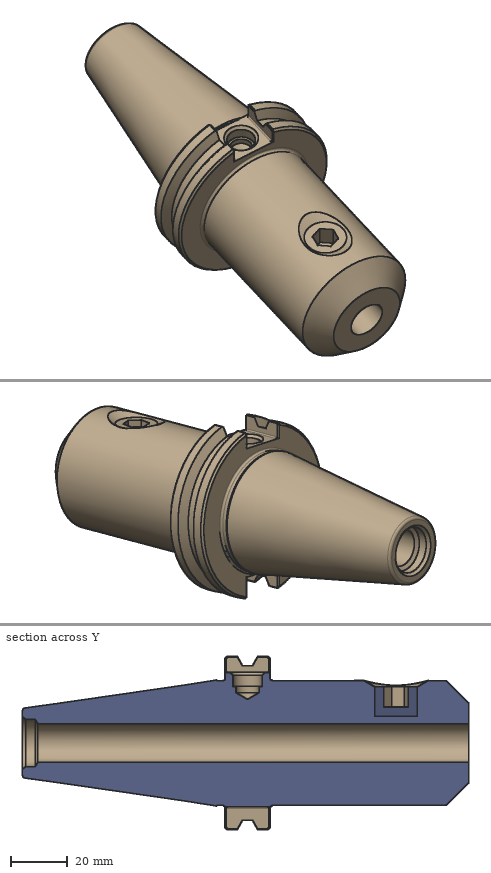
import cadquery as cq
import math

LENGTH = 157.2

TAPER_RATIO = 7 / 24
GAUGE_DIAMETER = 44.5
GAUGE_X = 68.2
TAPER_END_FILLET = 1.1

NOSE_DIAMETER = 44.0
NOSE_CHAMFER = 7.9
NECK_STEP_LENGTH = 0.6
FRONT_ROOT_FILLET = 0.8
BACK_ROOT_FILLET = 1.1

FLANGE_DIAMETER = 63.5
FLANGE_X = 71.3
FLANGE_WIDTH = 15.9
FLANGE_CHAMFER = 0.8
GROOVE_DEPTH = 3.3
GROOVE_TOP_WIDTH = 7.4
GROOVE_HALF_ANGLE = 30.0

SLOT_WIDTH = 16.2
SLOT_EDGE_CHAMFER = 0.5
SLOT_FLOOR_FILLET = 0.5
UPPER_SLOT_FLOOR_Z = 24.8
LOWER_SLOT_FLOOR_Z = -22.5

BORE_DIAMETER = 13.4
COUNTERBORE_DIAMETER = 16.5
COUNTERBORE_DEPTH = 4.5
BORE_MOUTH_DIAMETER = 18.4
BORE_MOUTH_DEPTH = 1.3

SLOT_HOLE_DIAMETER = 10.0
SLOT_HOLE_MOUTH_DIAMETER = 12.1
SLOT_HOLE_DEPTH = 4.9
PILOT_DIAMETER = 8.0
PILOT_DEPTH = 7.0
DRILL_HALF_ANGLE = 60.0

SCREW_X = 131.5
SCREW_DIAMETER = 15.0
SCREW_TOP_Z = 19.8
SCREW_BOTTOM_Z = 9.6
SOCKET_FLATS = 8.0
SOCKET_DEPTH = 7.0
SOCKET_TURN = -10.0
SCREW_SINK_HALF_ANGLE = 60.0
SINK_OVERRUN = 1.5

TOLERANCE = 0.002

flange_back_x = FLANGE_X + FLANGE_WIDTH
flange_middle_x = FLANGE_X + FLANGE_WIDTH / 2
flange_radius = FLANGE_DIAMETER / 2
nose_radius = NOSE_DIAMETER / 2


def cone_height(large_diameter, small_diameter, half_angle):
    """Height over which a cone with this half angle goes from one diameter to the other."""
    return (large_diameter - small_diameter) / 2 / math.tan(math.radians(half_angle))


def turned_along_x(points):
    """Solid of revolution about the X axis from (x, radius) points."""
    return cq.Workplane("XY").polyline(points).close().revolve(360, (0, 0, 0), (1, 0, 0))


def turned_along_z(points, x):
    """Solid of revolution about the vertical line at x from (radius, z) points."""
    outline = cq.Workplane("XZ").polyline(points).close()
    return outline.revolve(360, (0, 0, 0), (0, 1, 0)).translate((x, 0, 0))


def make_taper_and_nose():
    small_radius = (GAUGE_DIAMETER - GAUGE_X * TAPER_RATIO) / 2
    body = turned_along_x([
        (0, 0),
        (0, small_radius),
        (GAUGE_X, GAUGE_DIAMETER / 2),
        (GAUGE_X + NECK_STEP_LENGTH, nose_radius),
        (LENGTH - NOSE_CHAMFER, nose_radius),
        (LENGTH, nose_radius - NOSE_CHAMFER),
        (LENGTH, 0),
    ])
    return body.faces("<X").edges().fillet(TAPER_END_FILLET)


def make_slot(floor_z):
    """Box that cuts one drive slot, from its floor outwards in the direction of floor_z."""
    outer_z = math.copysign(flange_radius, floor_z)
    slot_box = cq.Workplane("XY").box(FLANGE_WIDTH, SLOT_WIDTH, abs(outer_z - floor_z))
    return slot_box.translate((flange_middle_x, 0, (outer_z + floor_z) / 2))


def is_slot_rim(edge):
    """True for an edge where a slot wall meets the outside of the flange, but not its groove or floor."""
    box = edge.BoundingBox()
    on_wall = box.ylen < TOLERANCE and abs(abs(box.center.y) - SLOT_WIDTH / 2) < TOLERANCE
    past_groove = abs(box.center.x - flange_middle_x) > GROOVE_TOP_WIDTH / 2
    along_floor = box.zlen < TOLERANCE and abs(box.center.z) < flange_radius - GROOVE_DEPTH
    return on_wall and past_groove and not along_floor


def is_floor_corner(edge):
    """True for an edge along X where a slot wall meets the slot floor."""
    box = edge.BoundingBox()
    on_floor = min(abs(box.center.z - UPPER_SLOT_FLOOR_Z), abs(box.center.z - LOWER_SLOT_FLOOR_Z)) < TOLERANCE
    on_wall = abs(abs(box.center.y) - SLOT_WIDTH / 2) < TOLERANCE
    return on_floor and on_wall


def make_flange():
    groove_half_top = GROOVE_TOP_WIDTH / 2
    groove_half_floor = groove_half_top - GROOVE_DEPTH * math.tan(math.radians(GROOVE_HALF_ANGLE))
    groove_floor_radius = flange_radius - GROOVE_DEPTH
    flange = turned_along_x([
        (FLANGE_X, 0),
        (FLANGE_X, flange_radius - FLANGE_CHAMFER),
        (FLANGE_X + FLANGE_CHAMFER, flange_radius),
        (flange_middle_x - groove_half_top, flange_radius),
        (flange_middle_x - groove_half_floor, groove_floor_radius),
        (flange_middle_x + groove_half_floor, groove_floor_radius),
        (flange_middle_x + groove_half_top, flange_radius),
        (flange_back_x - FLANGE_CHAMFER, flange_radius),
        (flange_back_x, flange_radius - FLANGE_CHAMFER),
        (flange_back_x, 0),
    ])
    for floor_z in (UPPER_SLOT_FLOOR_Z, LOWER_SLOT_FLOOR_Z):
        flange = flange.cut(make_slot(floor_z))
    slot_rims = [edge for edge in flange.edges().vals() if is_slot_rim(edge)]
    flange = flange.newObject(slot_rims).chamfer(SLOT_EDGE_CHAMFER)
    floor_corners = [edge for edge in flange.edges().vals() if is_floor_corner(edge)]
    return flange.newObject(floor_corners).fillet(SLOT_FLOOR_FILLET)


def make_root_fillet(face_x, direction, radius):
    """Ring that rounds the corner between the neck and a flange face; direction points away from the flange."""
    end_x = face_x + direction * radius
    top_radius = nose_radius + radius
    arc_reach = radius * (1 - math.sqrt(0.5))
    outline = (
        cq.Workplane("XY")
        .moveTo(face_x, nose_radius - radius)
        .lineTo(face_x, top_radius)
        .threePointArc((face_x + direction * arc_reach, nose_radius + arc_reach), (end_x, nose_radius))
        .lineTo(end_x, nose_radius - radius)
        .close()
    )
    return outline.revolve(360, (0, 0, 0), (1, 0, 0))


def make_axial_bore():
    shoulder = cone_height(COUNTERBORE_DIAMETER, BORE_DIAMETER, DRILL_HALF_ANGLE)
    return turned_along_x([
        (0, 0),
        (0, BORE_MOUTH_DIAMETER / 2),
        (BORE_MOUTH_DEPTH, COUNTERBORE_DIAMETER / 2),
        (COUNTERBORE_DEPTH, COUNTERBORE_DIAMETER / 2),
        (COUNTERBORE_DEPTH + shoulder, BORE_DIAMETER / 2),
        (LENGTH, BORE_DIAMETER / 2),
        (LENGTH, 0),
    ])


def make_slot_hole():
    top_z = UPPER_SLOT_FLOOR_Z
    mouth_depth = (SLOT_HOLE_MOUTH_DIAMETER - SLOT_HOLE_DIAMETER) / 2
    pilot_z = top_z - PILOT_DEPTH
    return turned_along_z([
        (0, top_z),
        (SLOT_HOLE_MOUTH_DIAMETER / 2, top_z),
        (SLOT_HOLE_DIAMETER / 2, top_z - mouth_depth),
        (SLOT_HOLE_DIAMETER / 2, top_z - SLOT_HOLE_DEPTH),
        (PILOT_DIAMETER / 2, top_z - SLOT_HOLE_DEPTH),
        (PILOT_DIAMETER / 2, pilot_z),
        (0, pilot_z - cone_height(PILOT_DIAMETER, 0, DRILL_HALF_ANGLE)),
    ], flange_middle_x)


def make_screw_hole():
    """Hole filled by the screw, opening into a conical sink that reaches out past the nose surface."""
    sink_top_z = nose_radius + SINK_OVERRUN
    screw_radius = SCREW_DIAMETER / 2
    sink_slope = math.tan(math.radians(SCREW_SINK_HALF_ANGLE))
    sink_radius = screw_radius + (sink_top_z - SCREW_TOP_Z) * sink_slope
    return turned_along_z([
        (0, SCREW_BOTTOM_Z),
        (screw_radius, SCREW_BOTTOM_Z),
        (screw_radius, SCREW_TOP_Z),
        (sink_radius, sink_top_z),
        (0, sink_top_z),
    ], SCREW_X)


def make_holder():
    holder = make_taper_and_nose().union(make_flange())
    holder = holder.union(make_root_fillet(FLANGE_X, -1, FRONT_ROOT_FILLET))
    holder = holder.union(make_root_fillet(flange_back_x, 1, BACK_ROOT_FILLET))
    return holder.cut(make_axial_bore()).cut(make_slot_hole()).cut(make_screw_hole())


def make_clamp_screw():
    screw_length = SCREW_TOP_Z - SCREW_BOTTOM_Z
    socket_corners = SOCKET_FLATS / math.cos(math.pi / 6)
    screw = cq.Workplane("XY").circle(SCREW_DIAMETER / 2).extrude(screw_length)
    socket = cq.Workplane("XY").polygon(6, socket_corners).extrude(SOCKET_DEPTH)
    socket = socket.rotate((0, 0, 0), (0, 0, 1), SOCKET_TURN)
    screw = screw.cut(socket.translate((0, 0, screw_length - SOCKET_DEPTH)))
    return screw.translate((SCREW_X, 0, SCREW_BOTTOM_Z))


holder = make_holder()
clamp_screw = make_clamp_screw()

result = cq.Compound.makeCompound([holder.val(), clamp_screw.val()])